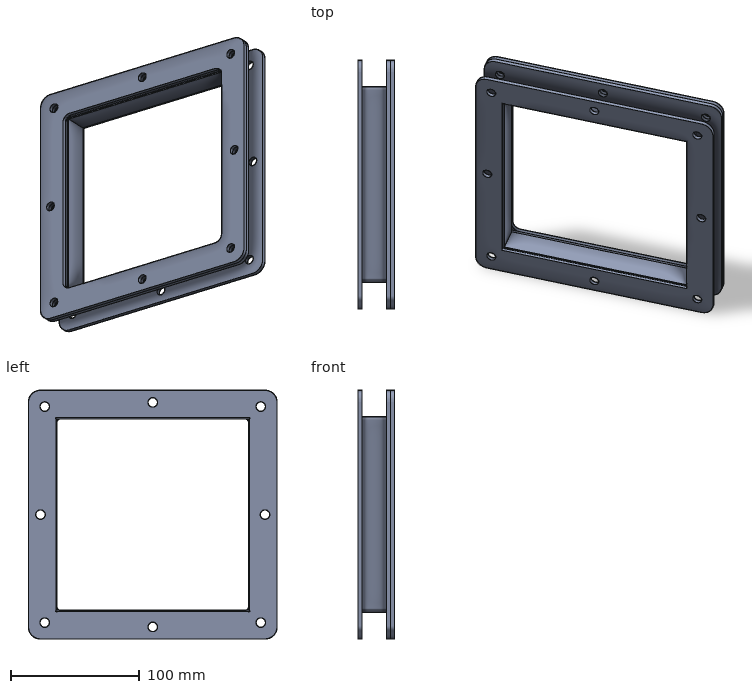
import cadquery as cq

total_depth = 28.5
plate_size = 193.7
tube_length = 19.0
plate_thickness = (total_depth - tube_length) / 3
plate_corner_radius = 9.5

plate_opening = 150.9
cover_opening_radius = 6.4

tube_outer = 152.5
tube_inner = 148.8
tube_corner_radius = 3.0

hole_diameter = 7.2
corner_hole_offset = 84.0
side_hole_offset = 87.4

front_flange_x = 0.0
tube_x = front_flange_x + plate_thickness
cover_x = total_depth - plate_thickness
rear_flange_x = cover_x - plate_thickness


def square_prism(x_start, length, side, corner_radius=0.0):
    """Square bar along X, with its long edges rounded if a radius is given."""
    prism = cq.Workplane("YZ", origin=(x_start, 0, 0)).rect(side, side).extrude(length)
    if corner_radius > 0:
        prism = prism.edges("|X").fillet(corner_radius)
    return prism


def bolt_holes(x_start):
    """Cylinders that cut the eight bolt holes of one plate."""
    corner_points = [
        (y_sign * corner_hole_offset, z_sign * corner_hole_offset)
        for y_sign in (-1, 1)
        for z_sign in (-1, 1)
    ]
    side_points = [
        (side_hole_offset, 0),
        (-side_hole_offset, 0),
        (0, side_hole_offset),
        (0, -side_hole_offset),
    ]
    return (
        cq.Workplane("YZ", origin=(x_start, 0, 0))
        .pushPoints(corner_points + side_points)
        .circle(hole_diameter / 2)
        .extrude(plate_thickness)
    )


def drilled_frame(x_start, opening_radius=0.0):
    """Square plate with rounded corners, a square opening and bolt holes."""
    plate = square_prism(x_start, plate_thickness, plate_size, plate_corner_radius)
    window = square_prism(x_start, plate_thickness, plate_opening, opening_radius)
    return plate.cut(window).cut(bolt_holes(x_start))


def make_flange(x_start):
    """Flange with a sharp-cornered opening."""
    return drilled_frame(x_start)


def make_cover_frame():
    """Outer frame behind the rear flange, with a round-cornered opening."""
    return drilled_frame(cover_x, cover_opening_radius)


def make_tube():
    """Square tube whose ends butt against the two flanges."""
    body = square_prism(tube_x, tube_length, tube_outer, tube_corner_radius)
    bore = square_prism(tube_x, tube_length, tube_inner)
    return body.cut(bore)


flanges = [make_flange(x_start) for x_start in (front_flange_x, rear_flange_x)]
tube = make_tube()
cover_frame = make_cover_frame()

result = cq.Compound.makeCompound(
    [flange.val() for flange in flanges] + [tube.val(), cover_frame.val()]
)